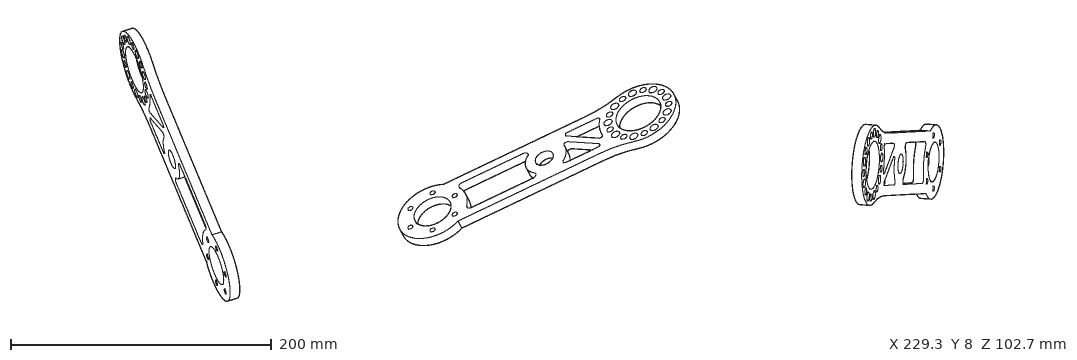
import cadquery as cq
import math

LENGTH = 229.3
THICKNESS = 8.0
RING_RADIUS = 31.0
HEAD_RADIUS = 28.7
HEAD_DROP = 43.0
BAR_HALF_WIDTH = 24.0
BLEND_RADIUS = 80.0

HEAD_RUN = LENGTH - RING_RADIUS - HEAD_RADIUS
ARM_LENGTH = math.hypot(HEAD_RUN, HEAD_DROP)
TILT = math.degrees(math.atan2(HEAD_DROP, HEAD_RUN))

RING_BORE = 37.0
RING_HOLE_CIRCLE = 25.0
RING_HOLE_COUNT = 18
RING_LARGE_HOLE = 6.6
RING_SMALL_HOLE = 5.3
RING_HOLE_START = -1.3

HEAD_BORE = 30.5
HEAD_BOLT_CIRCLE = 21.0
HEAD_BOLT_COUNT = 6
HEAD_BOLT_HOLE = 4.1
HEAD_BOLT_START = 90.0

HUB_X = 80.0
HUB_BORE = 15.0
HUB_RADIUS_RING_SIDE = 18.1
HUB_RADIUS_HEAD_SIDE = 15.8

POCKET_HALF_WIDTH = 16.0
RING_RIM_RADIUS = 32.3
TRIANGLE_CORNER = 2.0
WINDOW_CORNER = 3.0
LOWER_TRIANGLE_TOP = 6.0
STRUT_ANGLE = 40.4
STRUT_WIDTH = 5.7
STRUT_X = 47.5


def disc(radius, x=0.0):
    return cq.Workplane("XZ").center(x, 0).circle(radius).extrude(THICKNESS)


def block(x_start, x_end, z_start, z_end):
    return (
        cq.Workplane("XZ")
        .moveTo(x_start, z_start)
        .rect(x_end - x_start, z_end - z_start, centered=False)
        .extrude(THICKNESS)
    )


def hole_circle(x, radius, count, start_angle, diameter):
    return (
        cq.Workplane("XZ")
        .center(x, 0)
        .polarArray(radius, start_angle + TILT, 360, count)
        .circle(diameter / 2)
        .extrude(THICKNESS)
    )


def neck():
    """Bar from the ring to the head, flared into the ring by two tangent arcs."""
    arc_z = BAR_HALF_WIDTH + BLEND_RADIUS
    centre_distance = RING_RADIUS + BLEND_RADIUS
    arc_x = math.sqrt(centre_distance**2 - arc_z**2)
    touch_x = arc_x * RING_RADIUS / centre_distance
    touch_z = arc_z * RING_RADIUS / centre_distance
    return (
        cq.Workplane("XZ")
        .moveTo(touch_x, -touch_z)
        .radiusArc((arc_x, -BAR_HALF_WIDTH), BLEND_RADIUS)
        .lineTo(ARM_LENGTH, -BAR_HALF_WIDTH)
        .lineTo(ARM_LENGTH, BAR_HALF_WIDTH)
        .lineTo(arc_x, BAR_HALF_WIDTH)
        .radiusArc((touch_x, touch_z), BLEND_RADIUS)
        .close()
        .extrude(THICKNESS)
    )


def strut_side(side, clearance):
    """Half plane above (side 1) or below (side -1) the diagonal strut, kept clear of its edge."""
    edge = STRUT_WIDTH / 2 + clearance
    return (
        cq.Workplane("XZ")
        .transformed(offset=(STRUT_X, 0, 0), rotate=(0, 0, STRUT_ANGLE))
        .center(0, side * (edge + ARM_LENGTH / 2))
        .rect(2 * ARM_LENGTH, ARM_LENGTH)
        .extrude(THICKNESS)
    )


def grow(core, radius):
    """Sharp-cornered core grown outwards, which rounds every corner with the given radius."""
    outline = core.faces(">Y").wires().val().offset2D(radius, "arc")[0]
    return cq.Workplane(cq.Solid.extrudeLinear(outline, [], cq.Vector(0, -THICKNESS, 0)))


def upper_triangle():
    corner = TRIANGLE_CORNER
    edge = POCKET_HALF_WIDTH - corner
    core = (
        block(0, HUB_X, -edge, edge)
        .cut(disc(RING_RIM_RADIUS + corner))
        .intersect(strut_side(1, corner))
    )
    return grow(core, corner)


def lower_triangle():
    corner = TRIANGLE_CORNER
    core = (
        block(0, HUB_X, corner - POCKET_HALF_WIDTH, LOWER_TRIANGLE_TOP - corner)
        .cut(disc(HUB_RADIUS_RING_SIDE + corner, HUB_X))
        .intersect(strut_side(-1, corner))
    )
    return grow(core, corner)


def window():
    corner = WINDOW_CORNER
    edge = POCKET_HALF_WIDTH - corner
    core = (
        block(HUB_X, ARM_LENGTH, -edge, edge)
        .cut(disc(HUB_RADIUS_HEAD_SIDE + corner, HUB_X))
        .cut(disc(HEAD_RADIUS + corner, ARM_LENGTH))
    )
    return grow(core, corner)


plate = disc(RING_RADIUS).union(neck()).union(disc(HEAD_RADIUS, ARM_LENGTH))

for bore, x in ((RING_BORE, 0), (HUB_BORE, HUB_X), (HEAD_BORE, ARM_LENGTH)):
    plate = plate.cut(disc(bore / 2, x))

holes_per_size = RING_HOLE_COUNT // 2
small_hole_start = RING_HOLE_START + 360 / RING_HOLE_COUNT
for start, diameter in ((RING_HOLE_START, RING_LARGE_HOLE), (small_hole_start, RING_SMALL_HOLE)):
    plate = plate.cut(hole_circle(0, RING_HOLE_CIRCLE, holes_per_size, start, diameter))
plate = plate.cut(
    hole_circle(ARM_LENGTH, HEAD_BOLT_CIRCLE, HEAD_BOLT_COUNT, HEAD_BOLT_START, HEAD_BOLT_HOLE)
)

for pocket in (upper_triangle(), lower_triangle(), window()):
    plate = plate.cut(pocket)

result = plate.rotate((0, 0, 0), (0, 1, 0), TILT)